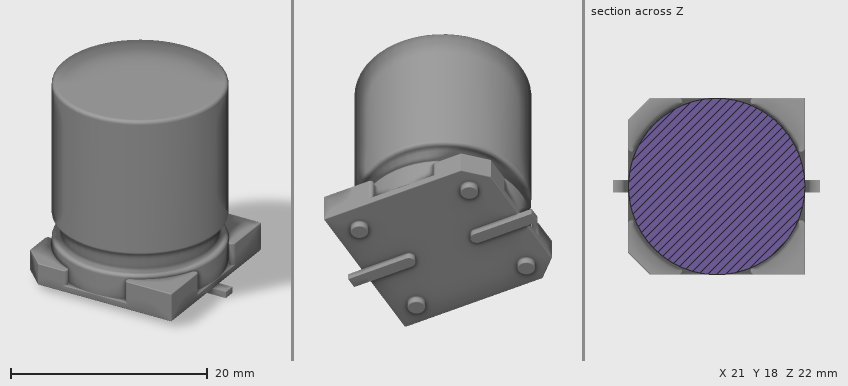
import cadquery as cq
import math

total_height = 22.0
total_length = 21.0
can_diameter = 18.0
base_side = can_diameter

base_bottom = 0.7
base_floor = 1.45
low_post_top = 3.15
tall_post_top = 3.9

corner_chamfer = 2.25
socket_radius = 9.06
post_tip_radius = 0.37
base_edge_radius = 0.1

can_top_radius = 0.4
groove_diameter = 16.2
groove_bottom = 4.3
groove_top = 6.51
groove_edge_radius = 0.37

pin_diameter = 1.8
pin_offset = 6.3
pin_edge_radius = 0.09

lead_width = 1.32
lead_inner_end = 3.23

half_base = base_side / 2
can_radius = can_diameter / 2
groove_radius = groove_diameter / 2


def make_plate():
    """Square base plate with both -X corners cut off and the other edges rounded."""
    plate = (
        cq.Workplane("XY", origin=(0, 0, base_bottom))
        .rect(base_side, base_side)
        .extrude(base_floor - base_bottom)
    )
    plate = plate.edges("|Z and <X").chamfer(corner_chamfer)
    plate = plate.edges("|Z and >X").fillet(base_edge_radius)
    return plate.faces("<Z or >Z").edges().fillet(base_edge_radius)


def make_post(x_sign, y_sign, top, chamfered):
    """Corner post: outer walls flush with the plate, inner wall round, tips rounded between them."""
    tip_wall = half_base - post_tip_radius
    tip_center_radius = socket_radius + post_tip_radius
    tip_along = math.sqrt(tip_center_radius**2 - tip_wall**2)
    contact_scale = socket_radius / tip_center_radius
    contact_along = tip_along * contact_scale
    contact_wall = tip_wall * contact_scale
    tip_end = tip_along - post_tip_radius
    socket_mid = socket_radius * math.sqrt(0.5)

    def at(x, y):
        return (x_sign * x, y_sign * y)

    outline = (
        cq.Workplane("XY", origin=(0, 0, base_bottom + base_edge_radius))
        .moveTo(*at(tip_along, half_base))
        .threePointArc(at(tip_end, tip_wall), at(contact_along, contact_wall))
        .threePointArc(at(socket_mid, socket_mid), at(contact_wall, contact_along))
        .threePointArc(at(tip_wall, tip_end), at(half_base, tip_along))
    )
    if chamfered:
        outline = outline.lineTo(*at(half_base, half_base - corner_chamfer))
        outline = outline.lineTo(*at(half_base - corner_chamfer, half_base))
    else:
        outline = outline.lineTo(*at(half_base, half_base))
    post = outline.close().extrude(top - base_bottom - base_edge_radius)
    if not chamfered:
        outer_side = ">Y" if y_sign > 0 else "<Y"
        post = post.edges("|Z").edges(">X").edges(outer_side).fillet(base_edge_radius)
    return post.faces(">Z").edges().fillet(base_edge_radius)


def make_can():
    """Cylindrical can with a rounded crimp groove near its foot and a rounded top rim."""
    can = (
        cq.Workplane("XZ")
        .moveTo(0, base_floor)
        .lineTo(can_radius, base_floor)
        .lineTo(can_radius, groove_bottom)
        .lineTo(groove_radius, groove_bottom)
        .lineTo(groove_radius, groove_top)
        .lineTo(can_radius, groove_top)
        .lineTo(can_radius, total_height)
        .lineTo(0, total_height)
        .close()
        .revolve(360, (0, 0, 0), (0, 1, 0))
    )
    groove_zone = cq.selectors.BoxSelector(
        (-base_side, -base_side, groove_bottom - groove_edge_radius),
        (base_side, base_side, groove_top + groove_edge_radius),
        boundingbox=True,
    )
    can = can.edges(groove_zone).edges("%CIRCLE").fillet(groove_edge_radius)
    return can.faces(">Z").edges().fillet(can_top_radius)


def make_pin(x, y):
    """Standoff pin with a rounded foot and a small flare where it meets the base."""
    radius = pin_diameter / 2
    r = pin_edge_radius
    arc_step = r * (1 - math.sqrt(0.5))
    flare_start = base_bottom - r
    pin = (
        cq.Workplane("XZ")
        .lineTo(radius - r, 0)
        .threePointArc((radius - arc_step, arc_step), (radius, r))
        .lineTo(radius, flare_start)
        .threePointArc((radius + arc_step, base_bottom - arc_step), (radius + r, base_bottom))
        .lineTo(0, base_bottom)
        .close()
        .revolve(360, (0, 0, 0), (0, 1, 0))
    )
    return pin.translate((x, y, 0))


def make_lead(x_sign):
    """Flat lead under the base: square outer end, half-round inner end."""
    round_radius = lead_width / 2
    outer_end = total_length / 2
    round_start = lead_inner_end + round_radius
    return (
        cq.Workplane("XY")
        .moveTo(x_sign * outer_end, -round_radius)
        .lineTo(x_sign * round_start, -round_radius)
        .threePointArc((x_sign * lead_inner_end, 0), (x_sign * round_start, round_radius))
        .lineTo(x_sign * outer_end, round_radius)
        .close()
        .extrude(base_bottom)
    )


result = make_plate()
for y_side in (-1, 1):
    result = result.union(make_post(-1, y_side, low_post_top, chamfered=True))
    result = result.union(make_post(1, y_side, tall_post_top, chamfered=False))
result = result.union(make_can())
for x_side in (-1, 1):
    result = result.union(make_lead(x_side))
    for y_side in (-1, 1):
        result = result.union(make_pin(x_side * pin_offset, y_side * pin_offset))